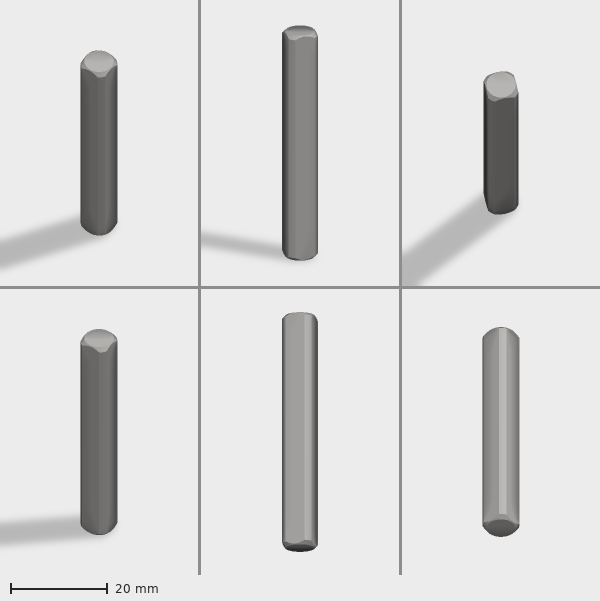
import cadquery as cq

length = 49.8
width = 6.35
corner_diameter = 7.6
end_chamfer = 0.8

blank = cq.Workplane("XY").circle(corner_diameter / 2).extrude(length).edges("%CIRCLE").chamfer(end_chamfer)

flats = cq.Workplane("XY").rect(width, width).extrude(length)

result = blank.intersect(flats)